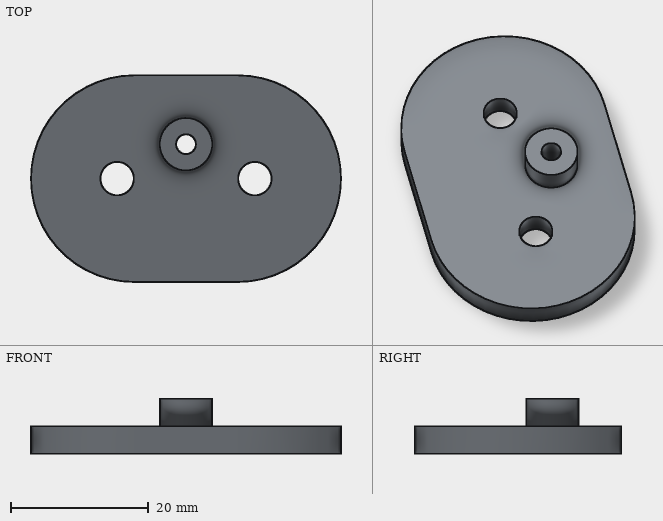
import cadquery as cq

plate_length = 45.0
plate_width = 30.0
plate_thickness = 4.0

mount_hole_diameter = 4.8
mount_hole_spacing = 20.0

boss_diameter = 7.6
boss_height = plate_thickness
boss_bore_diameter = 2.85
boss_offset = mount_hole_spacing / 4


def make_plate():
    """Stadium-shaped plate with its underside on Z = 0."""
    return cq.Workplane("XY").slot2D(plate_length, plate_width).extrude(plate_thickness)


def make_vertical_cylinder(x, y, diameter, height):
    """Upright cylinder starting at the underside of the plate."""
    return cq.Workplane("XY").center(x, y).circle(diameter / 2).extrude(height)


total_height = plate_thickness + boss_height

result = make_plate()
result = result.union(make_vertical_cylinder(0, boss_offset, boss_diameter, total_height))

result = result.cut(make_vertical_cylinder(0, boss_offset, boss_bore_diameter, total_height))

for side in (-1, 1):
    hole_x = side * mount_hole_spacing / 2
    result = result.cut(make_vertical_cylinder(hole_x, 0, mount_hole_diameter, plate_thickness))